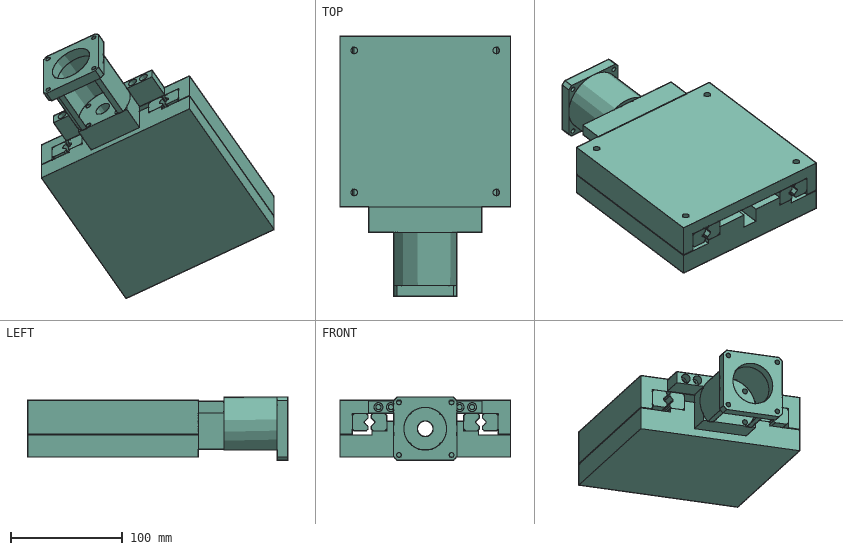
import cadquery as cq

stage_side = 152.5
stage_height = 51.0
stage_top = stage_height / 2
stage_bottom = -stage_height / 2
stage_front = -stage_side / 2

rail_width = 14.2
rail_height = 15.3
rail_gap = 2.5
rail_chamfer = 1.6
rail_pair_x = 49.7
rail_top = 13.5
rail_bottom = rail_top - rail_height
groove_depth = 3.3
groove_tip_width = 1.2
groove_mouth_width = groove_tip_width + 2 * groove_depth
rail_outer_x = rail_pair_x + rail_gap / 2 + rail_width
rail_inner_x = rail_pair_x - rail_gap / 2 - rail_width

table_skirt_bottom = -4.9
table_hole_diameter = 5.8
table_hole_spacing = 127.0

base_shoulder_z = -5.5
base_step_x = 47.6
base_ridge_top = 6.7

bracket_depth = 22.8
screw_plate_width = 101.3
screw_plate_top = 24.6
screw_plate_bottom = 14.0
bracket_block_width = 49.7
bracket_block_bottom = -18.4
screw_x_positions = (30.7, 41.8)
screw_z = 19.3
screw_hole_diameter = 4.6
screw_head_diameter = 8.0
screw_head_depth = 9.3
shaft_bore_diameter = 13.7
bearing_screw_diameter = 4.6
bearing_screw_spacing = 29.5
bearing_screw_depth = 9.3

flange_side = 56.7
flange_thickness = 9.5
flange_chamfer = 3.3
flange_hole_diameter = 4.2
flange_hole_spacing = 47.0
pilot_bore_diameter = 38.0
tube_bore_diameter = 49.7
tube_outer_diameter = flange_side
tube_bottom = -19.0
tube_length = 232.5 - stage_side - bracket_depth - flange_thickness

bracket_front = stage_front - bracket_depth
tube_front = bracket_front - tube_length


def block(x_min, x_max, y_min, y_max, z_min, z_max):
    """Box given by its limits along each axis."""
    size = (x_max - x_min, y_max - y_min, z_max - z_min)
    return cq.Workplane("XY").box(*size, centered=False).translate((x_min, y_min, z_min))


def xz_plane(y):
    """Plane at a given Y whose local axes are X and Z; extruding goes toward -Y."""
    return cq.Workplane("XZ", origin=(0, y, 0))


def along_stage(outline):
    """Closed XZ outline swept over the whole stage length."""
    return xz_plane(-stage_front).polyline(outline).close().extrude(stage_side)


def make_table():
    half = stage_side / 2
    table = block(-half, half, -half, half, table_skirt_bottom, stage_top)
    tunnel = block(-rail_outer_x, rail_outer_x, -half, half, table_skirt_bottom, rail_top)
    return (
        table.cut(tunnel)
        .faces(">Z")
        .workplane(origin=(0, 0, stage_top))
        .rect(table_hole_spacing, table_hole_spacing, forConstruction=True)
        .vertices()
        .hole(table_hole_diameter)
    )


def make_base():
    half = stage_side / 2
    right_profile = [
        (half, stage_bottom),
        (half, base_shoulder_z),
        (base_step_x, base_shoulder_z),
        (base_step_x, rail_bottom),
        (rail_inner_x, rail_bottom),
        (rail_inner_x, base_ridge_top),
    ]
    left_profile = [(-x, z) for x, z in reversed(right_profile)]
    base = along_stage(right_profile + left_profile)
    bore_radius = shaft_bore_diameter / 2
    channel = block(-bore_radius, bore_radius, -half, half, -bore_radius, base_ridge_top)
    return base.cut(channel)


def make_rail(side, is_outer):
    """Rail with a V groove in the face toward its partner; side is +1 for +X, -1 for -X."""
    x_min = rail_outer_x - rail_width if is_outer else rail_inner_x
    bar = block(x_min, x_min + rail_width, stage_front, -stage_front, rail_bottom, rail_top)
    bar = bar.edges("|Y").chamfer(rail_chamfer)
    face_x = x_min if is_outer else x_min + rail_width
    tip_x = face_x + groove_depth if is_outer else face_x - groove_depth
    middle_z = (rail_top + rail_bottom) / 2
    groove = along_stage([
        (face_x, middle_z - groove_mouth_width / 2),
        (tip_x, middle_z - groove_tip_width / 2),
        (tip_x, middle_z + groove_tip_width / 2),
        (face_x, middle_z + groove_mouth_width / 2),
    ])
    rail = bar.cut(groove)
    return rail if side > 0 else rail.mirror("YZ")


def make_bracket():
    plate_half = screw_plate_width / 2
    block_half = bracket_block_width / 2
    plate = block(
        -plate_half, plate_half, bracket_front, stage_front, screw_plate_bottom, screw_plate_top
    )
    lower_block = block(
        -block_half, block_half, bracket_front, stage_front, bracket_block_bottom, screw_plate_bottom
    )
    screw_points = [(side * x, screw_z) for side in (-1, 1) for x in screw_x_positions]
    screw_holes = xz_plane(stage_front).pushPoints(screw_points)
    screw_holes = screw_holes.circle(screw_hole_diameter / 2).extrude(bracket_depth)
    screw_heads = xz_plane(bracket_front + screw_head_depth).pushPoints(screw_points)
    screw_heads = screw_heads.circle(screw_head_diameter / 2).extrude(screw_head_depth)
    shaft_bore = xz_plane(stage_front).circle(shaft_bore_diameter / 2).extrude(bracket_depth)
    bearing_screws = xz_plane(bracket_front + bearing_screw_depth)
    bearing_screws = bearing_screws.rect(bearing_screw_spacing, bearing_screw_spacing, forConstruction=True)
    bearing_screws = bearing_screws.vertices().circle(bearing_screw_diameter / 2).extrude(bearing_screw_depth)
    bracket = plate.union(lower_block).cut(screw_holes).cut(screw_heads)
    return bracket.cut(shaft_bore).cut(bearing_screws)


def make_motor_mount():
    tube = xz_plane(bracket_front).circle(tube_outer_diameter / 2).circle(tube_bore_diameter / 2)
    tube = tube.extrude(tube_length)
    tube_radius = tube_outer_diameter / 2
    opening = block(-tube_radius, tube_radius, tube_front, bracket_front, -tube_radius, tube_bottom)

    flange = xz_plane(tube_front).rect(flange_side, flange_side).extrude(flange_thickness)
    flange = flange.edges("|Y").chamfer(flange_chamfer)
    pilot_bore = xz_plane(tube_front).circle(pilot_bore_diameter / 2).extrude(flange_thickness)
    bolt_holes = xz_plane(tube_front).rect(flange_hole_spacing, flange_hole_spacing, forConstruction=True)
    bolt_holes = bolt_holes.vertices().circle(flange_hole_diameter / 2).extrude(flange_thickness)
    return tube.cut(opening).union(flange.cut(pilot_bore).cut(bolt_holes))


table = make_table()
base = make_base()
rails = [make_rail(side, is_outer) for side in (-1, 1) for is_outer in (False, True)]
bracket = make_bracket()
motor_mount = make_motor_mount()

result = cq.Compound.makeCompound(
    [table.val(), base.val(), bracket.val(), motor_mount.val(), *[rail.val() for rail in rails]]
)